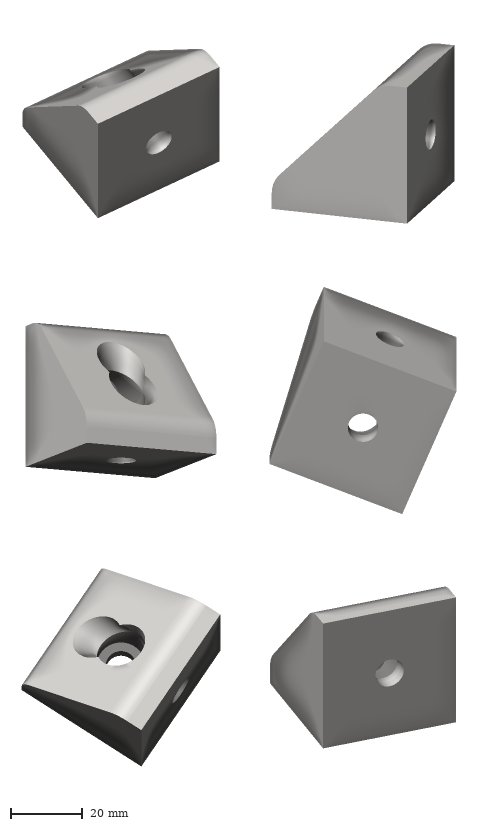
import cadquery as cq

side = 40.0
end_land = 8.0
edge_radius = 8.0
hole_diameter = 8.5
counterbore_diameter = 13.5
wall = 5.0
middle = side / 2


def wedge_body():
    """Block with its upper -X corner cut at 45 degrees and the slope's ends rounded."""
    profile = [(0, 0), (side, 0), (side, side), (side - end_land, side), (0, end_land)]
    body = cq.Workplane("XZ").polyline(profile).close().extrude(-side)
    lower_end = cq.selectors.NearestToPointSelector((0, middle, end_land))
    upper_end = cq.selectors.NearestToPointSelector((side - end_land, middle, side))
    return body.edges(lower_end + upper_end).fillet(edge_radius)


def counterbored_hole(seat, axis):
    """Cutter for a through hole along axis, widened in front of the seat point."""
    direction = cq.Vector(*axis)
    start = cq.Vector(*seat)
    bore = cq.Solid.makeCylinder(counterbore_diameter / 2, side, start, direction)
    hole = cq.Solid.makeCylinder(hole_diameter / 2, side, start, direction * -1)
    return cq.Workplane(bore.fuse(hole))


vertical_hole = counterbored_hole((middle, middle, wall), (0, 0, 1))
horizontal_hole = counterbored_hole((side - wall, middle, middle), (-1, 0, 0))

result = wedge_body().cut(vertical_hole).cut(horizontal_hole)